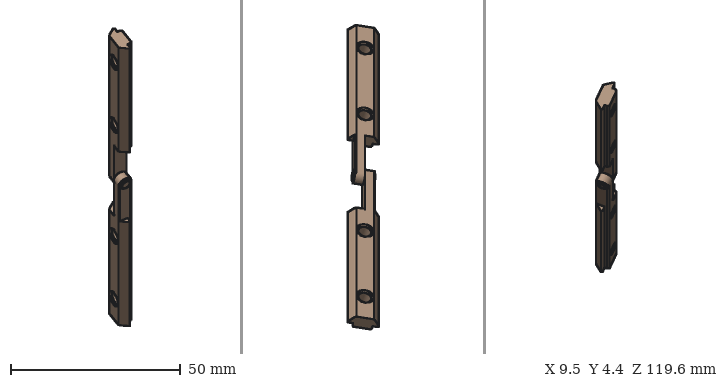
import cadquery as cq
import math

length = 119.6
width = 9.5
thickness = 4.4
neck_half_width = 3.0
flat_half_width = 2.6
top_bevel_depth = 0.7
shoulder_depth = 1.4
lip_radius = 0.5
flank_half_width = 3.1
bottom_bevel_height = 0.4

rail_gap = 30.0
arm_half_width = neck_half_width
arm_end_radius = thickness / 2
arm_overrun = 0.1

pin_diameter = 3.6
pin_tip_diameter = 2.6
pin_protrusion = 0.4

hole_diameter = 4.0
mouth_diameter = 5.0
hole_heights = (23.9, 51.0)

top_y = thickness / 2
bottom_y = -thickness / 2
shoulder_y = top_y - shoulder_depth
lip_y = shoulder_y - lip_radius
lip_x = width / 2
rail_start = rail_gap / 2
rail_length = length / 2 - rail_start
arm_end_z = -arm_overrun - arm_end_radius
pin_end_x = arm_half_width + pin_protrusion


def rail_blank():
    """Full rail section from the shoulder of the arm to the outer end."""
    arc_mid = (
        lip_x - lip_radius * (1 - math.sqrt(0.5)),
        lip_y + lip_radius * math.sqrt(0.5),
    )
    right_half = (
        cq.Workplane("XY", origin=(0, 0, rail_start))
        .moveTo(0, top_y)
        .lineTo(flat_half_width, top_y)
        .lineTo(neck_half_width, top_y - top_bevel_depth)
        .lineTo(neck_half_width, shoulder_y)
        .lineTo(lip_x - lip_radius, shoulder_y)
        .threePointArc(arc_mid, (lip_x, lip_y))
        .lineTo(flank_half_width, bottom_y + bottom_bevel_height)
        .lineTo(flat_half_width, bottom_y)
        .lineTo(0, bottom_y)
        .close()
        .extrude(rail_length)
    )
    return right_half.union(right_half.mirror("YZ")).clean()


def arm():
    """Left half of the neck, running past the pin axis to a full round end."""
    bevel_slope = (flank_half_width - flat_half_width) / bottom_bevel_height
    bevel_top_y = bottom_y + (arm_half_width - flat_half_width) / bevel_slope
    section = [
        (0, top_y),
        (-flat_half_width, top_y),
        (-arm_half_width, top_y - top_bevel_depth),
        (-arm_half_width, bevel_top_y),
        (-flat_half_width, bottom_y),
        (0, bottom_y),
    ]
    bar = (
        cq.Workplane("XY", origin=(0, 0, arm_end_z))
        .polyline(section)
        .close()
        .extrude(rail_start - arm_end_z)
    )
    round_end = (
        cq.Workplane("YZ")
        .moveTo(top_y, rail_start)
        .lineTo(top_y, -arm_overrun)
        .threePointArc((0, arm_end_z), (bottom_y, -arm_overrun))
        .lineTo(bottom_y, rail_start)
        .close()
        .extrude(-arm_half_width)
    )
    return bar.intersect(round_end)


def screw_hole(height):
    """Through bore along Y with a 45 degree countersunk mouth at the bottom face."""
    bore_radius = hole_diameter / 2
    mouth_radius = mouth_diameter / 2
    mouth_depth = mouth_radius - bore_radius
    bore = cq.Workplane("XZ", origin=(0, top_y, height)).circle(bore_radius).extrude(thickness)
    mouth = (
        cq.Workplane("XZ", origin=(0, bottom_y + mouth_depth, height))
        .circle(bore_radius)
        .workplane(offset=mouth_depth)
        .circle(mouth_radius)
        .loft()
    )
    return bore.union(mouth)


def hinge_pin():
    """Pin along X, straight inside the arms and tapered where it sticks out."""
    half_section = [
        (-pin_end_x, 0),
        (-pin_end_x, pin_tip_diameter / 2),
        (-arm_half_width, pin_diameter / 2),
        (arm_half_width, pin_diameter / 2),
        (pin_end_x, pin_tip_diameter / 2),
        (pin_end_x, 0),
    ]
    return cq.Workplane("XY").polyline(half_section).close().revolve(360, (0, 0, 0), (1, 0, 0))


def rail():
    """Upper rail with its arm on the left."""
    body = rail_blank().union(arm())
    for height in hole_heights:
        body = body.cut(screw_hole(height))
    return body.cut(hinge_pin())


upper_rail = rail()
lower_rail = rail().rotate((0, 0, 0), (0, 1, 0), 180)
pin = hinge_pin()

result = cq.Compound.makeCompound([upper_rail.val(), lower_rail.val(), pin.val()])